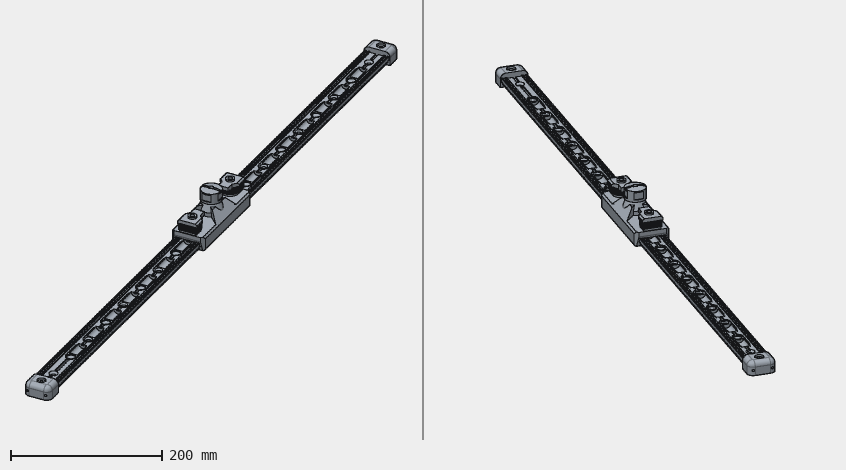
import cadquery as cq

total_length = 998.0
total_height = 59.35
carriage_width = 49.0

rail_width = 36.0
rail_height = 13.8
rail_base_width = 26.0
rail_base_height = 4.5
side_groove_top = 8.0
side_groove_depth = 1.5
strip_width = 21.0
strip_depth = 1.5
flank_groove_inner = 13.0
flank_groove_outer = 16.0
flank_groove_depth = 1.5
strip_floor = rail_height - strip_depth

hole_pitch = 50.0
last_hole = 9
seat_diameter = 12.0
seat_depth = 2.5
end_slot_gap = 2.0
countersink_diameter = 12.0
countersink_depth = 3.0
through_diameter = 6.0
shelf_width = 15.0
shelf_depth = 0.8
trough_offset = 20.0
trough_length = 26.0
trough_radius = 6.0
slot_offset = 39.0
slot_length = 11.0
slot_width = 4.0
slot_depth = 2.0
long_slot_centre = -424.0
long_slot_length = 36.0

cap_width = 39.0
cap_length = 26.0
cap_height = 20.0
cap_corner_radius = 8.7
cap_edge_radius = 7.5
cap_hole_diameter = 12.0
cap_hole_depth = 3.0
cap_pilot_diameter = 4.92
cap_pilot_depth = 12.0
cap_hole_from_end = 14.5
cap_screw_diameter = 3.0
cap_screw_depth = 8.0
cap_screw_x = 13.5
cap_screw_z = 7.5
length_tolerance = 0.001

carriage_length = 137.0
carriage_bottom = 2.5
carriage_shoulder = 20.5
carriage_top = 23.5
carriage_corner = 5.0
carriage_lower_chamfer = 1.5
end_undercut = 2.5
end_undercut_top = 17.0

saddle_top = 37.0
saddle_top_half_width = 11.0
saddle_neck_half_length = 7.0
saddle_end_half_length = saddle_neck_half_length + carriage_width / 2

tower_centre = 54.0
tower_end = carriage_length / 2
tower_radius = 12.0
tower_rib_bottoms = (27.0, 30.25, 33.5)
tower_rib_height = 1.75
tower_rib_depth = 1.0
lever_bottom = 36.2
lever_thickness = 6.0
lever_top = lever_bottom + lever_thickness
lever_half_width = 14.5
lever_taper_start = 53.0
lever_shoulder = 45.0
lever_half_tip = 7.5
lever_tip = 34.0
lever_bevel = 2.5
lever_web_tip = 39.0
lever_web_height = 3.0
knob_diameter = 12.0
knob_height = 2.5
knob_hole_diameter = 6.25
knob_hole_depth = 4.0

socket_radius = 17.0
socket_straight_top = 29.5
neck_radius = 12.0
head_radius = 14.8
head_bottom = 41.5
head_dome = 2.0
head_flat_offset = 13.3
head_flat_bottom = 45.0
head_flat_top = 55.5
head_slot_width = 3.0
head_slot_depth = 3.0
head_hole_diameter = 6.25
head_hole_depth = 8.0


def box(x_size, y_size, z_bottom, z_top, x=0.0, y=0.0):
    height = z_top - z_bottom
    base = cq.Workplane("XY", origin=(x, y, z_bottom))
    return base.box(x_size, y_size, height, centered=(True, True, False))


def cylinder(diameter, z_bottom, z_top, y=0.0):
    return cq.Workplane("XY", origin=(0, y, z_bottom)).circle(diameter / 2).extrude(z_top - z_bottom)


def rail_envelope(length):
    """Rail outline with a narrow base, side grooves and a plain flat top."""
    envelope = box(rail_width, length, rail_base_height, rail_height)
    envelope = envelope.union(box(rail_base_width, length, 0, rail_base_height))
    for side in (-1, 1):
        groove_x = side * (rail_width - side_groove_depth) / 2
        envelope = envelope.cut(box(side_groove_depth, length, rail_base_height, side_groove_top, groove_x))
    return envelope


def trough(y):
    """Round-bottomed trough cut into the strip floor."""
    start = y - trough_length / 2
    return cq.Workplane("XZ", origin=(0, start, strip_floor)).circle(trough_radius).extrude(-trough_length)


def shelf(bay_start):
    """Shallow round-ended recess around a hole and the trough beside it."""
    start = bay_start - shelf_width / 2
    end = bay_start + trough_offset + trough_length / 2
    outline = cq.Workplane("XY", origin=(0, (start + end) / 2, strip_floor - shelf_depth))
    return outline.slot2D(end - start, shelf_width, 90).extrude(shelf_depth)


def slot(y, length):
    return box(slot_width, length, strip_floor - slot_depth, strip_floor, y=y)


def round_seat(y):
    """Flat-bottomed blind round recess."""
    return cylinder(seat_diameter, strip_floor - seat_depth, strip_floor, y)


def countersunk_hole(y):
    cone = cq.Workplane("XY").add(
        cq.Solid.makeCone(
            through_diameter / 2,
            countersink_diameter / 2,
            countersink_depth,
            pnt=cq.Vector(0, y, strip_floor - countersink_depth),
        )
    )
    return cone.union(cylinder(through_diameter, 0, strip_floor, y))


def make_cap():
    """End cap at the +Y end, rounded on its outer corners and upper edges."""
    cap_centre = (total_length - cap_length) / 2
    cap = box(cap_width, cap_length, 0, cap_height, y=cap_centre)
    cap = cap.edges("|Z and >Y").fillet(cap_corner_radius)
    inner_face = total_length / 2 - cap_length
    top_edges = cap.faces(">Z").edges().filter(lambda edge: edge.Center().y > inner_face + length_tolerance)
    cap = cap.newObject(top_edges.vals()).fillet(cap_edge_radius)
    hole_y = total_length / 2 - cap_hole_from_end
    cap = cap.cut(cylinder(cap_hole_diameter, cap_height - cap_hole_depth, cap_height, hole_y))
    cap = cap.cut(cylinder(cap_pilot_diameter, cap_height - cap_pilot_depth, cap_height, hole_y))
    screws = (
        cq.Workplane("XZ", origin=(0, total_length / 2, cap_screw_z))
        .pushPoints([(-cap_screw_x, 0), (cap_screw_x, 0)])
        .circle(cap_screw_diameter / 2)
        .extrude(cap_screw_depth)
    )
    return cap.cut(screws)


def make_rail():
    inner_length = total_length - 2 * cap_length
    rail = rail_envelope(inner_length)
    rail = rail.cut(box(strip_width, inner_length, strip_floor, rail_height))
    flank_width = flank_groove_outer - flank_groove_inner
    flank_x = (flank_groove_outer + flank_groove_inner) / 2
    flank_floor = rail_height - flank_groove_depth
    for side in (-1, 1):
        rail = rail.cut(box(flank_width, inner_length, flank_floor, rail_height, side * flank_x))

    tools = []
    for index in range(-last_hole, last_hole + 1):
        hole_y = index * hole_pitch
        if index % 2 == 0:
            tools.append(round_seat(hole_y))
        else:
            tools.append(countersunk_hole(hole_y))
    for index in range(-last_hole, last_hole):
        bay_start = index * hole_pitch
        if index == -last_hole:
            tools.append(slot(long_slot_centre, long_slot_length))
        else:
            tools.append(shelf(bay_start))
            tools.append(trough(bay_start + trough_offset))
            tools.append(slot(bay_start + slot_offset, slot_length))
    last_hole_edge = last_hole * hole_pitch + countersink_diameter / 2
    end_slot_length = inner_length / 2 - last_hole_edge - end_slot_gap
    for side in (-1, 1):
        tools.append(slot(side * (inner_length - end_slot_length) / 2, end_slot_length))
    for tool in tools:
        rail = rail.cut(tool)

    cap = make_cap()
    return rail.union(cap).union(cap.mirror("XZ"))


def flank_inset(z):
    """Distance the sloping flank has moved in from the carriage side at height z."""
    rise_share = (z - carriage_shoulder) / (saddle_top - carriage_shoulder)
    return rise_share * (carriage_width / 2 - saddle_top_half_width)


def flank_profile(top):
    """Trapezoid between the two sloping flanks, from the shoulder up to the given height."""
    half_width = carriage_width / 2
    half_top = half_width - flank_inset(top)
    return [
        (-half_width, carriage_shoulder),
        (half_width, carriage_shoulder),
        (half_top, top),
        (-half_top, top),
    ]


def flank_prism(length, top):
    profile = cq.Workplane("XZ", origin=(0, length / 2, 0)).polyline(flank_profile(top)).close()
    return profile.extrude(length)


def make_plate():
    plate = box(carriage_width, carriage_length, carriage_bottom, carriage_shoulder)
    plate = plate.faces("<Z").edges("|Y").chamfer(carriage_lower_chamfer)
    plate = plate.union(flank_prism(carriage_length, carriage_top))
    outline = box(carriage_width, carriage_length, 0, carriage_top).edges("|Z").chamfer(carriage_corner)
    plate = plate.intersect(outline)
    half_length = carriage_length / 2
    undercut = (
        cq.Workplane("YZ", origin=(-carriage_width / 2, 0, 0))
        .polyline(
            [
                (half_length, end_undercut_top),
                (half_length, carriage_bottom),
                (half_length - end_undercut, carriage_bottom),
            ]
        )
        .close()
        .extrude(carriage_width)
    )
    return plate.cut(undercut).cut(undercut.mirror("XZ"))


def make_saddle():
    half_width = carriage_width / 2
    ridge = flank_prism(2 * saddle_end_half_length, saddle_top)
    bow_tie = (
        cq.Workplane("XY", origin=(0, 0, carriage_shoulder))
        .polyline(
            [
                (-half_width, -saddle_end_half_length),
                (0, -saddle_neck_half_length),
                (half_width, -saddle_end_half_length),
                (half_width, saddle_end_half_length),
                (0, saddle_neck_half_length),
                (-half_width, saddle_end_half_length),
            ]
        )
        .close()
        .extrude(saddle_top - carriage_shoulder)
    )
    return ridge.intersect(bow_tie)


def tower_block(radius, end_inset, z_bottom, z_top):
    """Tower section: round towards the middle and square at the carriage end."""
    back_length = tower_end - tower_centre - end_inset
    back = box(2 * radius, back_length, z_bottom, z_top, y=tower_centre + back_length / 2)
    return cylinder(2 * radius, z_bottom, z_top, tower_centre).union(back)


def make_tower():
    """Clamp tower near the +Y end, with its lever pointing to the middle."""
    tower = tower_block(tower_radius, tower_rib_depth, carriage_top, lever_bottom)
    for rib_bottom in tower_rib_bottoms:
        rib = tower_block(tower_radius + tower_rib_depth, 0, rib_bottom, rib_bottom + tower_rib_height)
        tower = tower.union(rib)
    lever = (
        cq.Workplane("XY", origin=(0, 0, lever_bottom))
        .polyline(
            [
                (-lever_half_width, tower_end),
                (-lever_half_width, lever_taper_start),
                (-lever_half_tip, lever_shoulder),
                (-lever_half_tip, lever_tip),
                (lever_half_tip, lever_tip),
                (lever_half_tip, lever_shoulder),
                (lever_half_width, lever_taper_start),
                (lever_half_width, tower_end),
            ]
        )
        .close()
        .extrude(lever_thickness)
    )
    lever = lever.faces(">Z").edges("|Y").edges("<X or >X").chamfer(lever_bevel)
    web_length = tower_centre - lever_web_tip
    web_bottom = lever_bottom - lever_web_height
    web = box(2 * lever_half_tip, web_length, web_bottom, lever_bottom, y=lever_web_tip + web_length / 2)
    knob_top = lever_top + knob_height
    knob = cylinder(knob_diameter, lever_bottom, knob_top, tower_centre)
    knob_hole = cylinder(knob_hole_diameter, knob_top - knob_hole_depth, knob_top, tower_centre)
    return tower.union(lever).union(web).union(knob).cut(knob_hole)


def make_head():
    """Domed round head with four side flats and a cross slot, on a tapered socket."""
    rim_height = total_height - head_dome
    hole_radius = head_hole_diameter / 2
    arc_middle = ((head_radius + hole_radius) / 2, total_height - head_dome / 3)
    head = (
        cq.Workplane("XZ")
        .moveTo(0, carriage_top)
        .lineTo(socket_radius, carriage_top)
        .lineTo(socket_radius, socket_straight_top)
        .lineTo(neck_radius, head_bottom)
        .lineTo(head_radius, head_bottom)
        .lineTo(head_radius, rim_height)
        .threePointArc(arc_middle, (hole_radius, total_height))
        .lineTo(0, total_height)
        .close()
        .revolve(360, (0, 0, 0), (0, 1, 0))
    )
    flat_depth = head_radius - head_flat_offset
    flat_centre = head_flat_offset + flat_depth / 2
    for turn in range(4):
        flat = box(flat_depth, 2 * head_radius, head_flat_bottom, head_flat_top, flat_centre)
        head = head.cut(flat.rotate((0, 0, 0), (0, 0, 1), 90 * turn))
    head = head.cut(box(2 * head_radius, head_slot_width, total_height - head_slot_depth, total_height))
    return head.cut(cylinder(head_hole_diameter, total_height - head_hole_depth, total_height))


def make_carriage():
    tower = make_tower()
    carriage = make_plate().union(make_saddle())
    carriage = carriage.union(tower).union(tower.mirror("XZ"))
    carriage = carriage.union(make_head())
    return carriage.cut(rail_envelope(carriage_length))


rail = make_rail()
carriage = make_carriage()

result = cq.Compound.makeCompound([rail.val(), carriage.val()])